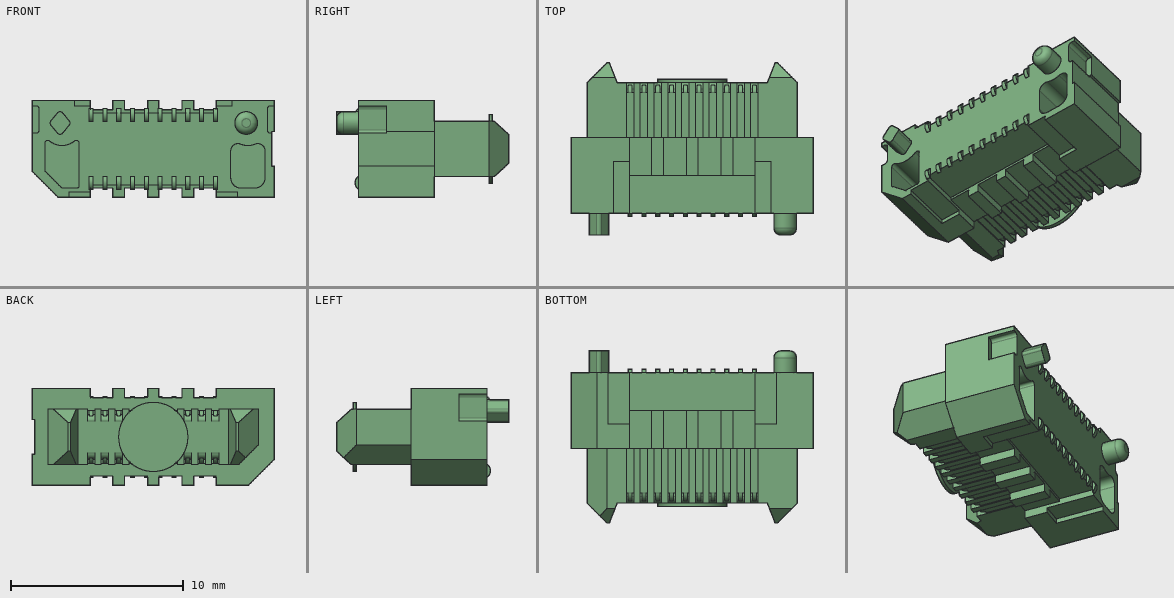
import cadquery as cq
import math


BASE_LENGTH = 14.0
BASE_HEIGHT = 5.6
BASE_DEPTH = 4.4
BASE_CHAMFER = 1.5
HALF_LENGTH = BASE_LENGTH / 2
HALF_HEIGHT = BASE_HEIGHT / 2

CUTOUT_LENGTH = 7.28
CUTOUT_FRONT_DEPTH = 2.18
FRONT_FLOOR_DROP = 0.71
REAR_FLOOR_DROP = 0.53
SIDE_TAB_WIDTH = 0.7
CENTRE_TAB_WIDTH = 0.66
TAB_SPACING = 2.0

LEDGE_WIDTH_TOP = 0.92
LEDGE_WIDTH_BOTTOM = 1.25
LEDGE_DROP = 0.31
LEDGE_DEPTH = 2.98

END_RECESS_BOTTOM = 0.91
END_RECESS_TOP = 2.49
END_RECESS_INSET = 0.4
END_RECESS_DEPTH = 1.64
END_RECESS_RADIUS = 0.2
NOTCH_INSET = 0.14
NOTCH_HEIGHT = 1.99

POCKET_WIDTH = 1.99
POCKET_BOTTOM = -2.27
POCKET_CROWN = 0.2
POCKET_ARC_RADIUS = 1.12
POCKET_DEPTH = 3.5
LEFT_POCKET_X = -5.28
LEFT_POCKET_CHAMFER = 1.0
LEFT_POCKET_TOP_RADIUS = 0.17
LEFT_POCKET_BOTTOM_RADIUS = 0.14
RIGHT_POCKET_X = 5.47
RIGHT_POCKET_TOP_RADIUS = 0.42
RIGHT_POCKET_BOTTOM_RADIUS = 0.6

ROUND_PEG_X = 5.38
DIAMOND_PEG_X = -5.39
PEG_Z = 1.5
PEG_LENGTH = 1.26
PEG_DIAMETER = 1.32
PEG_EDGE_RADIUS = 0.4
DIAMOND_HALF_WIDTH = 0.63
DIAMOND_HALF_HEIGHT = 0.77
DIAMOND_RADIUS = 0.2

PLUG_LENGTH = 12.15
PLUG_HEIGHT = 3.22
PLUG_TIP_Y = 7.56
PLUG_CHAMFER = 1.15
POST_TIP_Y = 8.71
POST_TIP_WIDTH = 0.14
POST_INNER_RUN = 0.45
POST_BEVEL_START_Y = 7.85
POST_TIP_HEIGHT = 1.65
PLUG_HALF_LENGTH = PLUG_LENGTH / 2
PLUG_HALF_HEIGHT = PLUG_HEIGHT / 2

CONTACTS_PER_ROW = 10
CONTACT_PITCH = 0.8
CONTACT_WIDTH = 0.24
SLOT_WIDTH = 0.43
SLOT_DROP = 0.07
SLOT_TIP_DROP = 0.31
SLOT_TIP_START_Y = 6.97
SLOT_LIP_RADIUS = 0.38
NOSE_RADIUS = 0.48
NOSE_CORNER_RADIUS = 0.11
TAIL_CHORD = 0.75
TAIL_RISE = 0.2
TAIL_Z = 1.96

PAD_DIAMETER = 4.0
PAD_THICKNESS = 0.2

CONTACT_X = [(i - (CONTACTS_PER_ROW - 1) / 2) * CONTACT_PITCH for i in range(CONTACTS_PER_ROW)]


def box(x0, x1, y0, y1, z0, z1):
    """Box between opposite corners."""
    return cq.Workplane("XY").box(x1 - x0, y1 - y0, z1 - z0, centered=False).translate((x0, y0, z0))


def from_mounting_face(offset_y=0.0):
    """XZ sketch plane at a given Y; positive extrusions run toward -Y."""
    return cq.Workplane("XZ", origin=(0, offset_y, 0))


def across_x(centre_x, width):
    """YZ sketch plane whose extrusion of `width` is centred on `centre_x`."""
    return cq.Workplane("YZ", origin=(centre_x - width / 2, 0, 0))


def mirrored_in_z(shape):
    """Copy of a shape reflected to the other contact row."""
    return shape.mirror("XY")


def chamfered_block(half_length, half_height, depth, chamfer):
    """Block from Y = 0 with its lower -X corner cut at 45 degrees."""
    outline = [
        (-half_length, half_height),
        (half_length, half_height),
        (half_length, -half_height),
        (-half_length + chamfer, -half_height),
        (-half_length, -half_height + chamfer),
    ]
    return from_mounting_face().polyline(outline).close().extrude(-depth)


def base_cutout():
    """Two-level cutout along the top of the base, leaving three tabs at its rear."""
    half = CUTOUT_LENGTH / 2
    front_floor = HALF_HEIGHT - FRONT_FLOOR_DROP
    rear_floor = HALF_HEIGHT - REAR_FLOOR_DROP
    cut = box(-half, half, CUTOUT_FRONT_DEPTH, BASE_DEPTH, rear_floor, HALF_HEIGHT)
    tabs = [(-TAB_SPACING, SIDE_TAB_WIDTH), (0, CENTRE_TAB_WIDTH), (TAB_SPACING, SIDE_TAB_WIDTH)]
    for x, width in tabs:
        tab = box(x - width / 2, x + width / 2, CUTOUT_FRONT_DEPTH, BASE_DEPTH, rear_floor, HALF_HEIGHT)
        cut = cut.cut(tab)
    return cut.union(box(-half, half, 0, CUTOUT_FRONT_DEPTH, front_floor, HALF_HEIGHT))


def ledge_cut(width):
    """Shallow recess that widens the front of a cutout on both sides."""
    half = CUTOUT_LENGTH / 2 + width
    return box(-half, half, 0, LEDGE_DEPTH, HALF_HEIGHT - LEDGE_DROP, HALF_HEIGHT).cut(
        box(-CUTOUT_LENGTH / 2, CUTOUT_LENGTH / 2, 0, LEDGE_DEPTH, 0, HALF_HEIGHT)
    )


def end_recess():
    """Recess in the -X end, open to the mounting face, with rounded inner corners."""
    inner_x = -HALF_LENGTH + END_RECESS_INSET
    recess = box(-HALF_LENGTH, inner_x, 0, END_RECESS_DEPTH, END_RECESS_BOTTOM, END_RECESS_TOP)
    return recess.edges("|Y and >X").fillet(END_RECESS_RADIUS)


def end_notch():
    """Full-depth notch in the +X end."""
    half = NOTCH_HEIGHT / 2
    return box(HALF_LENGTH - NOTCH_INSET, HALF_LENGTH, 0, BASE_DEPTH, -half, half)


def pocket(centre_x, corner_radius, bottom_chamfer, bottom_radius, bottom_edges):
    """Blind pocket whose crowned top bends down toward its middle between two round corners."""
    half = POCKET_WIDTH / 2
    arc_z = POCKET_CROWN + POCKET_ARC_RADIUS
    corner_x = half - corner_radius
    centre_distance = POCKET_ARC_RADIUS + corner_radius
    corner_z = arc_z - math.sqrt(centre_distance**2 - corner_x**2)
    ratio = POCKET_ARC_RADIUS / centre_distance
    touch_x = corner_x * ratio
    touch_z = arc_z + (corner_z - arc_z) * ratio
    peak = corner_z + corner_radius
    outline = (
        cq.Workplane("XZ", origin=(centre_x, 0, 0))
        .moveTo(half, POCKET_BOTTOM)
        .lineTo(half, corner_z)
        .radiusArc((corner_x, peak), -corner_radius)
        .radiusArc((touch_x, touch_z), -corner_radius)
        .threePointArc((0, POCKET_CROWN), (-touch_x, touch_z))
        .radiusArc((-corner_x, peak), -corner_radius)
        .radiusArc((-half, corner_z), -corner_radius)
        .lineTo(-half, POCKET_BOTTOM + bottom_chamfer)
    )
    if bottom_chamfer:
        outline = outline.lineTo(-half + bottom_chamfer, POCKET_BOTTOM)
    return outline.close().extrude(-POCKET_DEPTH).edges(bottom_edges).fillet(bottom_radius)


def round_peg():
    """Round alignment peg with a rounded end."""
    peg = from_mounting_face().center(ROUND_PEG_X, PEG_Z).circle(PEG_DIAMETER / 2).extrude(PEG_LENGTH)
    return peg.faces("<Y").edges().fillet(PEG_EDGE_RADIUS)


def diamond_peg():
    """Diamond-section alignment peg with rounded corners."""
    corners = [
        (DIAMOND_HALF_WIDTH, 0),
        (0, DIAMOND_HALF_HEIGHT),
        (-DIAMOND_HALF_WIDTH, 0),
        (0, -DIAMOND_HALF_HEIGHT),
    ]
    peg = from_mounting_face().center(DIAMOND_PEG_X, PEG_Z).polyline(corners).close().extrude(PEG_LENGTH)
    return peg.edges("|Y").fillet(DIAMOND_RADIUS)


def plug():
    """Plug block with two guide posts, bevelled outside and toward both contact rows."""
    outer_run = POST_TIP_Y - PLUG_TIP_Y
    tip_outer_x = PLUG_HALF_LENGTH - outer_run
    tip_inner_x = tip_outer_x - POST_TIP_WIDTH
    left_half = [
        (-PLUG_HALF_LENGTH, 0),
        (-PLUG_HALF_LENGTH, PLUG_TIP_Y),
        (-tip_outer_x, POST_TIP_Y),
        (-tip_inner_x, POST_TIP_Y),
        (-tip_inner_x + POST_INNER_RUN, PLUG_TIP_Y),
    ]
    right_half = [(-x, y) for x, y in reversed(left_half)]
    plan = cq.Workplane("XY").polyline(left_half + right_half).close()
    posts = plan.extrude(PLUG_HALF_HEIGHT, both=True)

    tip_half = POST_TIP_HEIGHT / 2
    side = [
        (0, -PLUG_HALF_HEIGHT),
        (POST_BEVEL_START_Y, -PLUG_HALF_HEIGHT),
        (POST_TIP_Y, -tip_half),
        (POST_TIP_Y, tip_half),
        (POST_BEVEL_START_Y, PLUG_HALF_HEIGHT),
        (0, PLUG_HALF_HEIGHT),
    ]
    bevelled = across_x(0, PLUG_LENGTH).polyline(side).close().extrude(PLUG_LENGTH)
    envelope = chamfered_block(PLUG_HALF_LENGTH, PLUG_HALF_HEIGHT, POST_TIP_Y, PLUG_CHAMFER)
    return posts.intersect(bevelled).intersect(envelope)


def contact_slot(x):
    """Upper-row slot: a shallow floor, then a lower floor that rounds off at the plug tip."""
    floor = PLUG_HALF_HEIGHT - SLOT_DROP
    tip_floor = PLUG_HALF_HEIGHT - SLOT_TIP_DROP
    lip_y = PLUG_TIP_Y - SLOT_LIP_RADIUS
    lip_z = tip_floor - SLOT_LIP_RADIUS
    return (
        across_x(x, SLOT_WIDTH)
        .moveTo(BASE_DEPTH, PLUG_HALF_HEIGHT)
        .lineTo(BASE_DEPTH, floor)
        .lineTo(SLOT_TIP_START_Y, floor)
        .lineTo(SLOT_TIP_START_Y, tip_floor)
        .lineTo(lip_y, tip_floor)
        .radiusArc((PLUG_TIP_Y, lip_z), SLOT_LIP_RADIUS)
        .lineTo(PLUG_TIP_Y, PLUG_HALF_HEIGHT)
        .close()
        .extrude(SLOT_WIDTH)
    )


def contact_nose(x):
    """Quarter-round contact tip that continues the shallow slot floor toward the plug tip."""
    top = PLUG_HALF_HEIGHT - SLOT_DROP
    bottom = top - NOSE_RADIUS
    end_y = SLOT_TIP_START_Y + NOSE_RADIUS
    nose = (
        across_x(x, CONTACT_WIDTH)
        .moveTo(SLOT_TIP_START_Y, top)
        .radiusArc((end_y, bottom), NOSE_RADIUS)
        .lineTo(SLOT_TIP_START_Y, bottom)
        .close()
        .extrude(CONTACT_WIDTH)
    )
    half = CONTACT_WIDTH / 2
    rounded_plan = box(x - half, x + half, SLOT_TIP_START_Y, end_y, bottom, top)
    return nose.intersect(rounded_plan.edges("|Z and >Y").fillet(NOSE_CORNER_RADIUS))


def contact_tail(x):
    """Rounded upper-row solder tail standing out of the mounting face."""
    return (
        across_x(x, CONTACT_WIDTH)
        .moveTo(0, TAIL_Z - TAIL_CHORD / 2)
        .threePointArc((-TAIL_RISE, TAIL_Z), (0, TAIL_Z + TAIL_CHORD / 2))
        .close()
        .extrude(CONTACT_WIDTH)
    )


def both_rows(feature):
    """Upper and lower rows of a contact feature, one copy at each contact position."""
    upper = cq.Workplane(cq.Compound.makeCompound([feature(x).val() for x in CONTACT_X]))
    return upper, mirrored_in_z(upper)


def make_housing():
    """Housing with its plug, pegs and both rows of contacts."""
    housing = chamfered_block(HALF_LENGTH, HALF_HEIGHT, BASE_DEPTH, BASE_CHAMFER)
    cutout = base_cutout()
    recess = end_recess()
    housing = housing.cut(cutout).cut(mirrored_in_z(cutout))
    housing = housing.cut(ledge_cut(LEDGE_WIDTH_TOP))
    housing = housing.cut(mirrored_in_z(ledge_cut(LEDGE_WIDTH_BOTTOM)))
    housing = housing.cut(recess).cut(recess.mirror("YZ")).cut(end_notch())
    housing = housing.union(plug())
    housing = housing.cut(
        pocket(LEFT_POCKET_X, LEFT_POCKET_TOP_RADIUS, LEFT_POCKET_CHAMFER,
               LEFT_POCKET_BOTTOM_RADIUS, "|Y and (>X and <Z)")
    )
    housing = housing.cut(
        pocket(RIGHT_POCKET_X, RIGHT_POCKET_TOP_RADIUS, 0, RIGHT_POCKET_BOTTOM_RADIUS, "|Y and <Z")
    )
    housing = housing.union(round_peg()).union(diamond_peg())
    for slots in both_rows(contact_slot):
        housing = housing.cut(slots)
    for feature in (contact_nose, contact_tail):
        for row in both_rows(feature):
            housing = housing.union(row)
    return housing


def make_pickup_pad():
    """Thin round pad lying on the tip of the plug."""
    return from_mounting_face(PLUG_TIP_Y).circle(PAD_DIAMETER / 2).extrude(-PAD_THICKNESS)


housing = make_housing()
pickup_pad = make_pickup_pad()
result = cq.Compound.makeCompound([housing.val(), pickup_pad.val()])